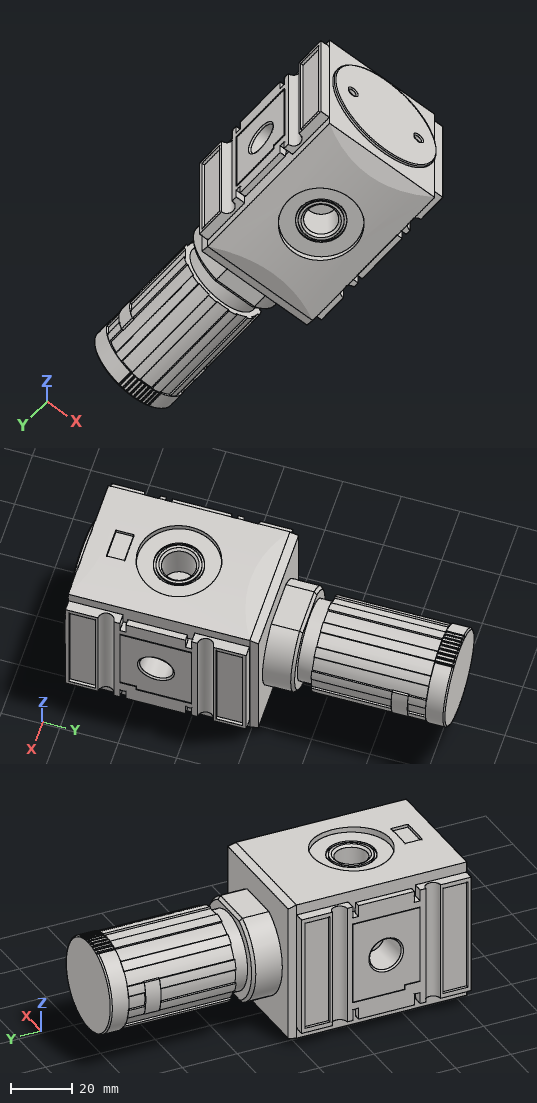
import cadquery as cq
import math


block_width = 44.8
block_half_length = 31.1
corner_height = 25.4
crown_height = 27.1
slope_length = 6.5
slope = (crown_height - corner_height) / slope_length

overall_width = 52.0
pad_height = 43.2
pad_half_length = 31.0
pad_thickness = (overall_width - block_width) / 2
notch_radius = 2.7
notch_offset = 17.0
panel_offset = 25.2
panel_length = 9.0
panel_height = 40.0
panel_depth = 1.0
slot_outer = 12.3
slot_inner = 10.2
slot_depth = 4.1
hook_top_gap = 1.4
hook_root_gap = 0.9
label_top = 15.0
label_bottom = -14.8
label_notch_height = 1.7
label_notch_length = 5.5
label_depth = 0.3

port_diameter = 11.5
port_mouth_diameter = 13.2
port_mouth_depth = (port_mouth_diameter - port_diameter) / 2
port_depth = 12.9
recess_diameter = 28.0
recess_floor = 24.6
seal_groove_outer = 16.8
seal_groove_inner = 15.1
seal_groove_depth = 0.6

symbol_width = 10.6
symbol_length = 6.2
symbol_center = -20.1
symbol_depth = 1.2

disc_neck_diameter = 37.2
disc_diameter = 43.5
disc_start = 31.9
disc_end = 33.0
disc_chamfer = 0.4
disc_hole_diameter = 3.2
disc_hole_mouth = 4.1
disc_hole_mouth_angle = 90
disc_hole_offset = 13.9
disc_hole_depth = 1.9

overall_length = 129.0
plate_end = 34.0
collar_end = 44.8
neck_end = 50.2
grip_end = 89.4
cap_end = overall_length - disc_end
collar_diameter = 36.0
collar_flats = 32.1
collar_chamfer = 1.0
neck_diameter = 28.0
grip_radius = 16.0
rib_count = 12
rib_width = 3.5
rib_radius = 16.6
cap_diameter = 33.7
cap_chamfer = 0.5
marker_radius = 16.8
marker_start = 77.7
marker_end = 83.2
marker_width = 12.0
cap_groove_count = 9
cap_groove_pitch = 1.5
cap_groove_width = 0.5
cap_groove_depth = 0.4


def rod(diameter, start, end):
    """Cylinder on the Y axis from start to end."""
    return cq.Workplane("XZ", origin=(0, start, 0)).circle(diameter / 2).extrude(start - end)


def block(x0, x1, y0, y1, z0, z1):
    """Box between two opposite corners."""
    return cq.Workplane("XY").box(x1 - x0, y1 - y0, z1 - z0, centered=False).translate((x0, y0, z0))


def crowned_block():
    """Block with arched top and bottom, cut by sloped facets at both ends."""
    x = block_width / 2
    arched = (
        cq.Workplane("XZ", origin=(0, block_half_length, 0))
        .moveTo(-x, corner_height)
        .threePointArc((0, crown_height), (x, corner_height))
        .lineTo(x, -corner_height)
        .threePointArc((0, -crown_height), (-x, -corner_height))
        .close()
        .extrude(2 * block_half_length)
    )
    y = block_half_length
    flat = y - slope_length
    facets = (
        cq.Workplane("YZ", origin=(-x, 0, 0))
        .polyline([
            (-y, -corner_height), (-flat, -crown_height), (flat, -crown_height), (y, -corner_height),
            (y, corner_height), (flat, crown_height), (-flat, crown_height), (-y, corner_height),
        ])
        .close()
        .extrude(block_width)
    )
    return arched.intersect(facets)


def hook_slots():
    """U-shaped cut around the hook at the top of the left pad."""
    face = block_width / 2
    top = pad_height / 2
    bottom = top - slot_depth
    cut = block(-overall_width / 2, -face, -slot_outer, slot_outer, bottom, top)
    hook = (
        cq.Workplane("XZ", origin=(0, slot_inner, 0))
        .polyline([
            (-overall_width / 2, bottom), (-face - hook_root_gap, bottom),
            (-face - hook_top_gap, top), (-overall_width / 2, top),
        ])
        .close()
        .extrude(2 * slot_inner)
    )
    return cut.cut(hook)


def label_field():
    """Shallow field around the left port, with one corner stepped."""
    step_y = label_notch_length - slot_outer
    step_z = label_bottom + label_notch_height
    return (
        cq.Workplane("YZ", origin=(-overall_width / 2, 0, 0))
        .polyline([
            (slot_outer, label_top), (slot_outer, label_bottom), (step_y, label_bottom),
            (step_y, step_z), (-slot_outer, step_z), (-slot_outer, label_top),
        ])
        .close()
        .extrude(label_depth)
    )


def left_pad():
    """Left side pad with round notches, shallow panels, hooks and the label field."""
    outer = -overall_width / 2
    pad = block(outer, outer + pad_thickness, -pad_half_length, pad_half_length,
                -pad_height / 2, pad_height / 2)
    for side in (-1, 1):
        notch = (
            cq.Workplane("XY", origin=(outer, side * notch_offset, -pad_height / 2))
            .circle(notch_radius)
            .extrude(pad_height)
        )
        middle = side * panel_offset
        panel = block(outer, outer + panel_depth, middle - panel_length / 2, middle + panel_length / 2,
                      -panel_height / 2, panel_height / 2)
        pad = pad.cut(notch).cut(panel)
    slots = hook_slots()
    return pad.cut(slots).cut(slots.mirror("XY")).cut(label_field())


def port(face_height):
    """Blind port cutter along Z with a bevelled mouth at the given height."""
    r = port_diameter / 2
    return (
        cq.Workplane("XZ")
        .polyline([
            (0, face_height), (port_mouth_diameter / 2, face_height), (r, face_height - port_mouth_depth),
            (r, face_height - port_depth), (0, face_height - port_depth),
        ])
        .close()
        .revolve(360, (0, 0, 0), (0, 1, 0))
    )


def top_port():
    """Round recess with a seal groove around the port."""
    recess = (
        cq.Workplane("XY", origin=(0, 0, recess_floor))
        .circle(recess_diameter / 2)
        .extrude(crown_height - recess_floor)
    )
    seal_groove = (
        cq.Workplane("XY", origin=(0, 0, recess_floor - seal_groove_depth))
        .circle(seal_groove_outer / 2)
        .circle(seal_groove_inner / 2)
        .extrude(seal_groove_depth)
    )
    return recess.union(seal_groove).union(port(recess_floor))


def symbol_pocket():
    """Plain rectangular pocket in the crown."""
    return block(-symbol_width / 2, symbol_width / 2,
                 symbol_center - symbol_length / 2, symbol_center + symbol_length / 2,
                 crown_height - symbol_depth, crown_height)


def end_disc():
    """Disc on a short neck, with two countersunk blind holes."""
    disc = rod(disc_diameter, -disc_end, -disc_start).faces("<Y").chamfer(disc_chamfer)
    disc = disc.union(rod(disc_neck_diameter, -disc_start, -block_half_length))
    return (
        disc.faces("<Y").workplane(origin=(0, -disc_end, 0))
        .pushPoints([(-disc_hole_offset, 0), (disc_hole_offset, 0)])
        .cskHole(disc_hole_diameter, disc_hole_mouth, disc_hole_mouth_angle, disc_hole_depth)
    )


def make_housing():
    """Block with pads, end disc and four ports."""
    pad = left_pad()
    side_port = port(overall_width / 2).rotate((0, 0, 0), (0, 1, 0), -90)
    upper = top_port()
    return (
        crowned_block()
        .union(pad)
        .union(pad.mirror("YZ"))
        .union(end_disc())
        .cut(side_port)
        .cut(side_port.mirror("YZ"))
        .cut(upper)
        .cut(upper.mirror("XY"))
        .cut(symbol_pocket())
    )


def bonnet_plate():
    """Square plate that continues the sloped facets of the housing."""
    end_height = corner_height - slope * (plate_end - block_half_length)
    return (
        cq.Workplane("YZ", origin=(-block_width / 2, 0, 0))
        .polyline([
            (block_half_length, -corner_height), (plate_end, -end_height),
            (plate_end, end_height), (block_half_length, corner_height),
        ])
        .close()
        .extrude(block_width)
    )


def collar():
    """Round collar with a flat above and below and a bevelled end."""
    r = collar_diameter / 2
    flats = block(-r, r, plate_end, collar_end, -collar_flats / 2, collar_flats / 2)
    return rod(collar_diameter, plate_end, collar_end).intersect(flats).faces(">Y").chamfer(collar_chamfer)


def grip():
    """Round grip with lengthwise ribs and a raised marker on the left and right."""
    body = rod(2 * grip_radius, neck_end, grip_end)
    rib = block(-rib_width / 2, rib_width / 2, neck_end, grip_end, 0, rib_radius)
    rib = rib.intersect(rod(2 * rib_radius, neck_end, grip_end))
    pitch = 360 / rib_count
    for i in range(rib_count):
        body = body.union(rib.rotate((0, 0, 0), (0, 1, 0), (i + 0.5) * pitch))
    markers = block(-marker_radius, marker_radius, marker_start, marker_end,
                    -marker_width / 2, marker_width / 2)
    return body.union(markers.intersect(rod(2 * marker_radius, marker_start, marker_end)))


def cap():
    """End cap with a row of fine grooves above and below."""
    r = cap_diameter / 2
    body = rod(cap_diameter, grip_end, cap_end).faces(">Y").chamfer(cap_chamfer)
    for i in range(cap_groove_count):
        x = (i - (cap_groove_count - 1) / 2) * cap_groove_pitch
        floor = math.sqrt(r ** 2 - x ** 2) - cap_groove_depth
        groove = block(x - cap_groove_width / 2, x + cap_groove_width / 2, grip_end, cap_end, floor, r)
        body = body.cut(groove).cut(groove.mirror("XY"))
    return body


def make_bonnet():
    """Bonnet plate, collar and neck with the knob on top."""
    neck = rod(neck_diameter, collar_end, neck_end)
    return bonnet_plate().union(collar()).union(neck).union(grip()).union(cap())


housing = make_housing()
bonnet = make_bonnet()
result = cq.Compound.makeCompound([housing.val(), bonnet.val()])